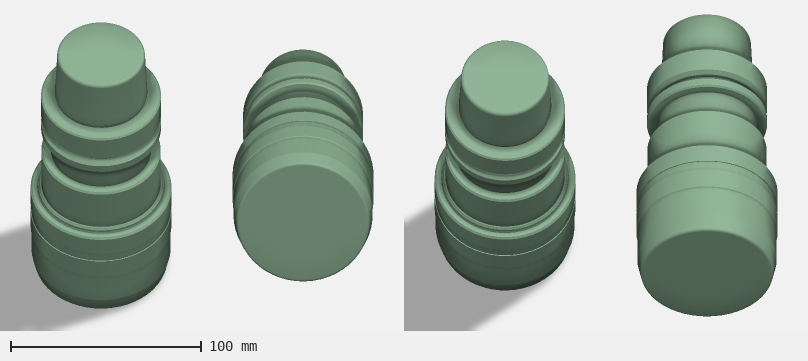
import cadquery as cq

body_dia = 74.0
sleeve_dia = 73.0
nose_dia = 69.0
collar_dia = 66.0
collar_root_dia = 67.0
barrel_dia = 62.7
flange_dia = 63.0
neck_dia = 52.8
groove_dia = 55.0
groove_lip_dia = 58.6
shank_dia = 48.5
shank_tip_dia = 46.0
relief_dia = 47.8
relief_foot_dia = 51.5

nose_top = 9.4
body_bottom = 27.8
band_bottom = 40.3
band_top = 46.3
body_top = 58.1
collar_foot_top = 59.1
collar_top = 61.2
barrel_top = 87.3
ring_bottom = 103.6
ring_top = 108.8
groove_bottom = 110.4
groove_top = 113.5
flange_bottom = 115.1
flange_top = 129.8
relief_flare_top = 130.5
relief_top = 131.8
shank_bottom = 132.5
total_height = 161.9

edge_chamfer = 1.0
flange_chamfer = 0.8
sleeve_gap = 0.5
nose_fillet = 1.5
tip_fillet = 1.6


def turned(*outline):
    """Revolve an outline of (diameter, height) pairs, closed on the Z axis."""
    points = [(diameter / 2, height) for diameter, height in outline]
    axis_start = (0, points[0][1])
    axis_end = (0, points[-1][1])
    profile = cq.Workplane("XZ").polyline([axis_start, *points, axis_end]).close()
    return profile.revolve(360, (0, 0, 0), (0, 1, 0))


def nose_and_body():
    """Conical nose, sleeve and the largest cylinder with its shallow band."""
    nose = turned(
        (nose_dia, 0),
        (sleeve_dia, nose_top),
        (sleeve_dia, body_bottom),
    ).faces("<Z").edges().fillet(nose_fillet)
    body = turned(
        (sleeve_dia, body_bottom),
        (body_dia, body_bottom + sleeve_gap),
        (body_dia, band_bottom),
        (sleeve_dia, band_bottom),
        (sleeve_dia, band_top),
        (body_dia, band_top),
        (body_dia, body_top),
    ).faces(">Z").edges().chamfer(edge_chamfer)
    return nose.union(body)


def collar_and_barrel():
    """Thin collar on the body, then the barrel and the neck above it."""
    collar = turned(
        (collar_root_dia, body_top),
        (collar_dia, collar_foot_top),
        (collar_dia, collar_top),
    ).faces(">Z").edges().chamfer(edge_chamfer)
    barrel = turned(
        (barrel_dia, collar_top),
        (barrel_dia, barrel_top),
    ).faces(">Z").edges().chamfer(edge_chamfer)
    neck = turned(
        (neck_dia, barrel_top),
        (neck_dia, ring_bottom),
    )
    return collar.union(barrel).union(neck)


def grooved_flange():
    """Flange with the gripper groove separating its lower ring."""
    flange = turned(
        (flange_dia, ring_bottom),
        (flange_dia, ring_top),
        (groove_lip_dia, groove_bottom),
        (groove_dia, groove_bottom),
        (groove_dia, groove_top),
        (groove_lip_dia, groove_top),
        (flange_dia, flange_bottom),
        (flange_dia, flange_top),
    )
    return flange.faces("<Z or >Z").edges().chamfer(flange_chamfer)


def tapered_shank():
    """Taper with a rounded tip, standing on a relief above the flange."""
    relief = turned(
        (relief_foot_dia, flange_top),
        (relief_dia, relief_flare_top),
        (relief_dia, relief_top),
        (shank_dia, shank_bottom),
    )
    taper = turned(
        (shank_dia, shank_bottom),
        (shank_tip_dia, total_height),
    ).faces(">Z").edges().fillet(tip_fillet)
    return relief.union(taper)


result = (
    nose_and_body()
    .union(collar_and_barrel())
    .union(grooved_flange())
    .union(tapered_shank())
)